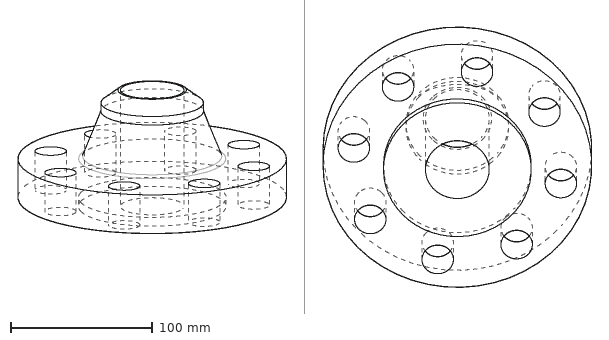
import cadquery as cq
import math

flange_diameter = 190.5
flange_thickness = 28.5
face_diameter = 104.7
face_height = 6.5

bolt_count = 8
bolt_circle_diameter = 149.3
bolt_hole_diameter = 22.3

total_height = 85.5
bore_diameter = 45.1
hub_base_diameter = 100.2
neck_diameter = 72.8
neck_band_height = 6.3
weld_land = 1.7
bevel_angle = 37.5
hub_fillet_radius = 3.0

flange_top = face_height + flange_thickness
neck_radius = neck_diameter / 2
weld_end_radius = bore_diameter / 2 + weld_land
bevel_height = (neck_radius - weld_end_radius) * math.tan(math.radians(bevel_angle))
bevel_start = total_height - bevel_height
taper_end = bevel_start - neck_band_height


def revolved_body():
    """Solid of revolution about Z, before the bore and bolt holes are cut."""
    return (
        cq.Workplane("XZ")
        .lineTo(face_diameter / 2, 0)
        .lineTo(face_diameter / 2, face_height)
        .lineTo(flange_diameter / 2, face_height)
        .lineTo(flange_diameter / 2, flange_top)
        .lineTo(hub_base_diameter / 2, flange_top)
        .lineTo(neck_radius, taper_end)
        .lineTo(neck_radius, bevel_start)
        .lineTo(weld_end_radius, total_height)
        .lineTo(0, total_height)
        .close()
        .revolve(360, (0, 0, 0), (0, 1, 0))
    )


def fillet_hub_base(body):
    """Round the inside corner where the hub meets the flange plate."""
    margin = hub_fillet_radius / 10
    reach = hub_base_diameter / 2 + margin
    selection_box = cq.selectors.BoxSelector(
        (-reach, -reach, flange_top - margin),
        (reach, reach, flange_top + margin),
        boundingbox=True,
    )
    return body.edges(selection_box).fillet(hub_fillet_radius)


def bore():
    return cq.Workplane("XY").circle(bore_diameter / 2).extrude(total_height)


def bolt_holes():
    return (
        cq.Workplane("XY")
        .polarArray(bolt_circle_diameter / 2, 0, 360, bolt_count)
        .circle(bolt_hole_diameter / 2)
        .extrude(flange_top)
    )


result = fillet_hub_base(revolved_body()).cut(bore()).cut(bolt_holes())